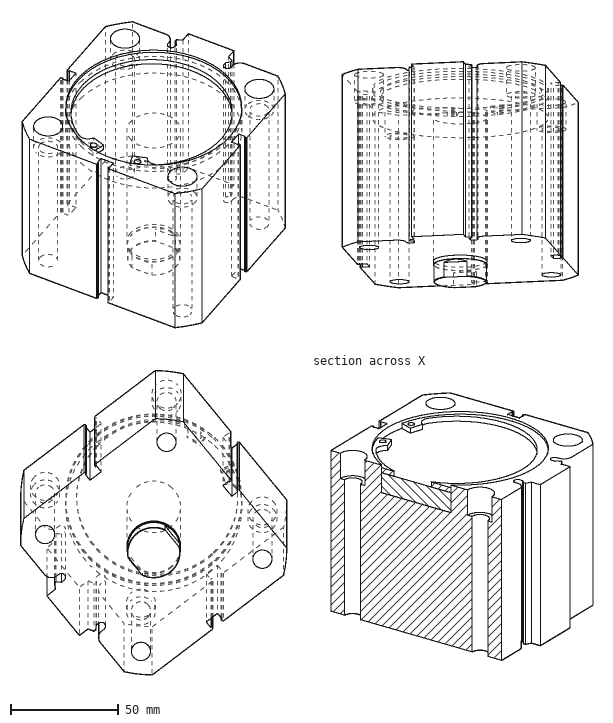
import cadquery as cq
import math


BODY_WIDTH = 96.5
BODY_HEIGHT = 82.5
CORNER_DIAMETER = 124.0

RAIL_TOP_Y = 53.8
RAIL_HALF_WIDTH = 12.2
RAIL_FOOT_Y = 48.7
NUB_HALF_WIDTH = 14.9
NUB_TOP_Y = 47.2
NUB_BOTTOM_Y = 46.1
GROOVE_INNER_X = 13.2
GROOVE_OUTER_X = 16.9
GROOVE_BOTTOM_Y = 41.0
GROOVE_SHOULDER_RADIUS = 4.2

SLOT_WIDTH = 6.6
SLOT_DEPTH = 4.6
SLOT_MOUTH_WIDTH = 5.5
SLOT_LIP = 1.1
SLOT_LIP_CHAMFER = 0.4

HOLE_OFFSET = 36.0
HOLE_DIAMETER = 8.9
COUNTERBORE_DIAMETER = 13.6
COUNTERBORE_DEPTH = 13.0

RECESS_DIAMETER = 82.0
RING_TOP_GAP = 1.3
RING_THICKNESS = 2.5
COVER_THICKNESS = 10.2

RING_INNER_DIAMETER = 75.1
RING_INNER_SHIFT_Y = -2.0
EAR_ANGLE = 18.2
EAR_HOLE_RADIUS = 37.6
EAR_HOLE_DIAMETER = 3.1
EAR_INNER_RADIUS = 34.2
EAR_TO_GAP = 3.2
EAR_TO_FLANK = 4.0
GAP_OVERCUT = 3.1
EAR_BLEND_X = 21.2

COLLAR_DIAMETER = 25.0
ROD_END_DIAMETER = 24.5
ROD_PROTRUSION = 10.0
COLLAR_PROTRUSION = 1.6
FLATS_WIDTH = 21.9
FLATS_RAMP = 1.2
ROD_CHAMFER = 0.2

half_body = BODY_WIDTH / 2
ring_top_z = BODY_HEIGHT - RING_TOP_GAP
cover_top_z = ring_top_z - RING_THICKNESS
recess_floor_z = cover_top_z - COVER_THICKNESS


def cylinder(diameter, bottom_z, top_z):
    """Round bar on the bore axis."""
    return cq.Workplane("XY").workplane(offset=bottom_z).circle(diameter / 2).extrude(top_z - bottom_z)


def body_block():
    """Square block with turned corners and the rail, hooks included, on its +Y face."""
    square = cq.Workplane("XY").rect(BODY_WIDTH, BODY_WIDTH).extrude(BODY_HEIGHT)
    block = square.intersect(cylinder(CORNER_DIAMETER, 0, BODY_HEIGHT))
    rail = (
        cq.Workplane("XY")
        .polyline([
            (-RAIL_HALF_WIDTH, RAIL_TOP_Y),
            (RAIL_HALF_WIDTH, RAIL_TOP_Y),
            (RAIL_HALF_WIDTH, RAIL_FOOT_Y),
            (NUB_HALF_WIDTH, NUB_TOP_Y),
            (-NUB_HALF_WIDTH, NUB_TOP_Y),
            (-RAIL_HALF_WIDTH, RAIL_FOOT_Y),
        ])
        .close()
        .extrude(BODY_HEIGHT)
    )
    return block.union(rail)


def rail_groove(side):
    """Undercut groove beside the rail, on the side (+1 or -1) given along X."""
    undercut_run = NUB_HALF_WIDTH - GROOVE_INNER_X
    bottom_radius = (GROOVE_OUTER_X - GROOVE_INNER_X) / 2
    bottom_arc_y = GROOVE_BOTTOM_Y + bottom_radius
    shoulder_y = half_body - GROOVE_SHOULDER_RADIUS
    shoulder_x = GROOVE_OUTER_X + GROOVE_SHOULDER_RADIUS
    arc_reach = GROOVE_SHOULDER_RADIUS * math.sqrt(0.5)
    groove = (
        cq.Workplane("XY")
        .moveTo(RAIL_HALF_WIDTH, RAIL_FOOT_Y)
        .lineTo(NUB_HALF_WIDTH, NUB_TOP_Y)
        .lineTo(NUB_HALF_WIDTH, NUB_BOTTOM_Y)
        .lineTo(GROOVE_INNER_X, NUB_BOTTOM_Y - undercut_run)
        .lineTo(GROOVE_INNER_X, bottom_arc_y)
        .threePointArc((GROOVE_INNER_X + bottom_radius, GROOVE_BOTTOM_Y), (GROOVE_OUTER_X, bottom_arc_y))
        .lineTo(GROOVE_OUTER_X, shoulder_y)
        .threePointArc((shoulder_x - arc_reach, shoulder_y + arc_reach), (shoulder_x, half_body))
        .lineTo(shoulder_x, RAIL_FOOT_Y)
        .close()
        .extrude(BODY_HEIGHT)
    )
    return groove if side > 0 else groove.mirror("YZ")


def sensor_slot(angle):
    """Lipped slot along the -Y face, turned by the angle about the bore axis."""
    half_slot = SLOT_WIDTH / 2
    half_mouth = SLOT_MOUTH_WIDTH / 2
    right_side = [
        (half_mouth + SLOT_LIP_CHAMFER, -half_body),
        (half_mouth, -half_body + SLOT_LIP_CHAMFER),
        (half_mouth, -half_body + SLOT_LIP),
        (half_slot, -half_body + SLOT_LIP),
        (half_slot, -half_body + SLOT_DEPTH),
    ]
    left_side = [(-x, y) for x, y in reversed(right_side)]
    slot = cq.Workplane("XY").polyline(right_side + left_side).close().extrude(BODY_HEIGHT)
    return slot.rotate((0, 0, 0), (0, 0, 1), angle)


def make_housing():
    housing = body_block()
    for side in (-1, 1):
        housing = housing.cut(rail_groove(side))
    for angle in (-90, 0, 90):
        housing = housing.cut(sensor_slot(angle))
    housing = (
        housing.faces(">Z")
        .workplane(origin=(0, 0, BODY_HEIGHT))
        .rect(2 * HOLE_OFFSET, 2 * HOLE_OFFSET, forConstruction=True)
        .vertices()
        .cboreHole(HOLE_DIAMETER, COUNTERBORE_DIAMETER, COUNTERBORE_DEPTH)
    )
    housing = housing.cut(cylinder(RECESS_DIAMETER, recess_floor_z, BODY_HEIGHT))
    return housing.cut(cylinder(COLLAR_DIAMETER, 0, recess_floor_z))


def make_cover():
    return cylinder(RECESS_DIAMETER, recess_floor_z, cover_top_z)


def ear_point(radial, tangential):
    """Point on the +X ear: distance from the bore axis, and offset away from the ring gap."""
    angle = math.radians(EAR_ANGLE)
    x = radial * math.sin(angle) + tangential * math.cos(angle)
    y = -radial * math.cos(angle) + tangential * math.sin(angle)
    return x, y


def ring_opening():
    """Inside of the ring: the eccentric circle, the two ears and the gap between them."""
    inner_radius = RING_INNER_DIAMETER / 2
    blend_y = -math.sqrt(inner_radius**2 - EAR_BLEND_X**2)
    blend = (EAR_BLEND_X, RING_INNER_SHIFT_Y + blend_y)
    flank = ear_point(EAR_INNER_RADIUS, EAR_TO_FLANK)
    tip = ear_point(EAR_INNER_RADIUS, -EAR_TO_GAP)
    gap = ear_point(RECESS_DIAMETER / 2 + GAP_OVERCUT, -EAR_TO_GAP)

    def mirrored(point):
        return -point[0], point[1]

    blend_tangent = (blend_y, -EAR_BLEND_X)
    right_flank = cq.Edge.makeTangentArc(cq.Vector(*blend), cq.Vector(*blend_tangent), cq.Vector(*flank))
    flank_middle = right_flank.positionAt(0.5).toTuple()[:2]
    return (
        cq.Workplane("XY")
        .workplane(offset=cover_top_z)
        .moveTo(*mirrored(blend))
        .threePointArc((0, RING_INNER_SHIFT_Y + inner_radius), blend)
        .threePointArc(flank_middle, flank)
        .lineTo(*tip)
        .lineTo(*gap)
        .lineTo(*mirrored(gap))
        .lineTo(*mirrored(tip))
        .lineTo(*mirrored(flank))
        .threePointArc(mirrored(flank_middle), mirrored(blend))
        .close()
        .extrude(RING_THICKNESS)
    )


def make_retaining_ring():
    ring = cylinder(RECESS_DIAMETER, cover_top_z, ring_top_z).cut(ring_opening())
    hole_x, hole_y = ear_point(EAR_HOLE_RADIUS, 0)
    plier_holes = (
        cq.Workplane("XY")
        .workplane(offset=cover_top_z)
        .pushPoints([(-hole_x, hole_y), (hole_x, hole_y)])
        .circle(EAR_HOLE_DIAMETER / 2)
        .extrude(RING_THICKNESS)
    )
    return ring.cut(plier_holes)


def flat_cut():
    """Material removed for the wrench flat on the -Y side, with its sloped run-out."""
    collar_radius = COLLAR_DIAMETER / 2
    flat_y = -FLATS_WIDTH / 2
    return (
        cq.Workplane("YZ")
        .polyline([
            (-collar_radius, -COLLAR_PROTRUSION),
            (flat_y, -COLLAR_PROTRUSION - FLATS_RAMP),
            (flat_y, -ROD_PROTRUSION),
            (-collar_radius, -ROD_PROTRUSION),
        ])
        .close()
        .extrude(collar_radius, both=True)
    )


def make_rod():
    collar = cylinder(COLLAR_DIAMETER, -COLLAR_PROTRUSION, recess_floor_z)
    rod_end = cylinder(ROD_END_DIAMETER, -ROD_PROTRUSION, -COLLAR_PROTRUSION)
    rod = collar.union(rod_end.faces("<Z").chamfer(ROD_CHAMFER))
    flat = flat_cut()
    return rod.cut(flat).cut(flat.mirror("XZ"))


housing = make_housing()
cover = make_cover()
retaining_ring = make_retaining_ring()
rod = make_rod()

result = cq.Compound.makeCompound([housing.val(), cover.val(), retaining_ring.val(), rod.val()])